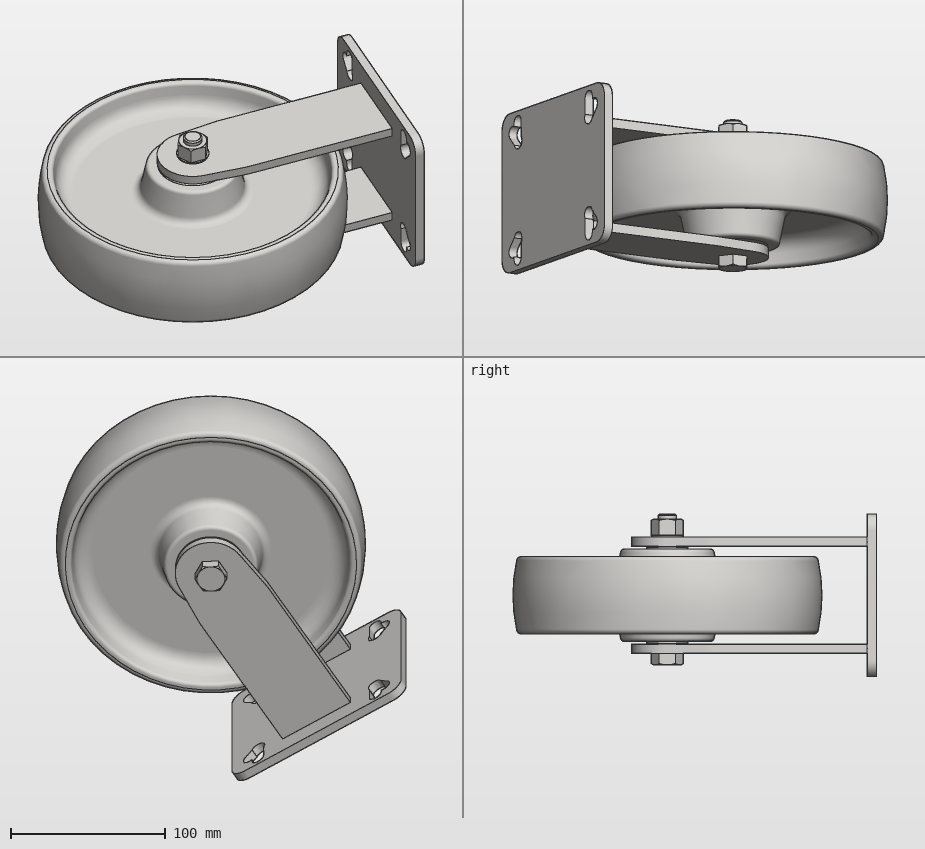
import cadquery as cq
import math


WHEEL_WIDTH = 50.0
TREAD_RADIUS = 99.8
TREAD_EDGE_RADIUS = 97.5
SHOULDER_HEIGHT = 3.0
RIM_RADIUS = 94.0
RIM_INNER_RADIUS = 90.1
RIM_EDGE_FILLET = 2.5
RIM_ROOT_FILLET = 11.7
WEB_THICKNESS = 14.0
HUB_LENGTH = 59.6
HUB_TOP_RADIUS = 29.8
HUB_EDGE_FILLET = 2.5
HUB_ROOT_FILLET = 5.9
DRAFT_ANGLE = 11.5

AXLE_TO_MOUNT = 135.0
SHEET = 6.0
PLATE_WIDTH = 128.6
PLATE_HEIGHT = 105.0
PLATE_CORNER_RADIUS = 9.9
LEG_GAP = 63.0
LEG_WIDTH = 51.5
LEG_END_RADIUS = 23.0
LEG_TAPER = 5.4
LEG_BEND_RADIUS = 32.9

SLOT_WIDTH = 9.0
UPRIGHT_X = 44.5
UPRIGHT_TOP = 44.8
SLOT_BOTTOM = 32.0
DIAGONAL_X = 44.0
DIAGONAL_RUN = 7.0

BOLT_DIAMETER = 12.0
BOLT_TIP_DIAMETER = 10.0
BOLT_TIP_CHAMFER = 1.0
BOLT_TIP_Z = 52.3
HEX_FLATS = 18.0
HEX_BEVEL_ANGLE = 30
HEAD_HEIGHT = 7.3
NUT_HEIGHT = 11.5
WASHER_FACE_DIAMETER = 20.0
WASHER_FACE_HEIGHT = 1.2
WASHER_CONE_HEIGHT = 1.0
BEARING_DIAMETER = 45.5
COLLAR_DIAMETER = 26.5
COLLAR_SPAN = 62.0

LEG_OUTER_Z = LEG_GAP / 2 + SHEET
HEX_CORNERS = HEX_FLATS / math.cos(math.radians(30))


def cylinder(diameter, z_low, z_high):
    return cq.Workplane("XY").workplane(offset=z_low).circle(diameter / 2).extrude(z_high - z_low)


def circular_edges(body, radius):
    return body.edges("%CIRCLE").filter(lambda edge: math.isclose(edge.radius(), radius, rel_tol=1e-6))


def make_tyre():
    """Ring with a crowned tread and rounded shoulders."""
    half = WHEEL_WIDTH / 2
    edge_z = half - SHOULDER_HEIGHT
    shoulder_width = TREAD_EDGE_RADIUS - RIM_RADIUS
    bulge = math.sin(math.radians(45))
    shoulder_mid = (RIM_RADIUS + shoulder_width * bulge, edge_z + SHOULDER_HEIGHT * bulge)
    return (
        cq.Workplane("YZ")
        .moveTo(RIM_RADIUS, -half)
        .lineTo(RIM_RADIUS, half)
        .threePointArc(shoulder_mid, (TREAD_EDGE_RADIUS, edge_z))
        .threePointArc((TREAD_RADIUS, 0), (TREAD_EDGE_RADIUS, -edge_z))
        .threePointArc((shoulder_mid[0], -shoulder_mid[1]), (RIM_RADIUS, -half))
        .close()
        .revolve(360, (0, 0), (0, 1))
    )


def make_rim():
    """Hub, flat web and rim in one piece, with drafted walls and rounded corners."""
    slope = math.tan(math.radians(DRAFT_ANGLE))
    web_z = WEB_THICKNESS / 2
    hub_z = HUB_LENGTH / 2
    rim_z = WHEEL_WIDTH / 2
    hub_root_radius = HUB_TOP_RADIUS + (hub_z - web_z) * slope
    rim_root_radius = RIM_INNER_RADIUS - (rim_z - web_z) * slope
    upper = [
        (BEARING_DIAMETER / 2, hub_z),
        (HUB_TOP_RADIUS, hub_z),
        (hub_root_radius, web_z),
        (rim_root_radius, web_z),
        (RIM_INNER_RADIUS, rim_z),
        (RIM_RADIUS, rim_z),
    ]
    lower = [(radius, -z) for radius, z in reversed(upper)]
    rim = cq.Workplane("YZ").polyline(upper + lower).close().revolve(360, (0, 0), (0, 1))

    for radius, fillet in (
        (HUB_TOP_RADIUS, HUB_EDGE_FILLET),
        (hub_root_radius, HUB_ROOT_FILLET),
        (rim_root_radius, RIM_ROOT_FILLET),
        (RIM_INNER_RADIUS, RIM_EDGE_FILLET),
    ):
        rim = circular_edges(rim, radius).fillet(fillet)
    return rim


def make_leg(z_low):
    """Flat leg that tapers to a round end about the axle."""
    taper = math.radians(LEG_TAPER)
    half = LEG_WIDTH / 2
    tangent_x = LEG_END_RADIUS * math.cos(taper)
    tangent_y = -LEG_END_RADIUS * math.sin(taper)
    bend_y = tangent_y + (half - tangent_x) / math.tan(taper)
    plate_y = AXLE_TO_MOUNT - SHEET
    blend = LEG_BEND_RADIUS * math.tan(taper / 2)
    blend_x = half - blend * math.sin(taper)
    blend_y = bend_y - blend * math.cos(taper)
    outline = (
        cq.Workplane("XY")
        .workplane(offset=z_low)
        .moveTo(half, plate_y)
        .lineTo(half, bend_y + blend)
        .tangentArcPoint((blend_x, blend_y), relative=False)
        .lineTo(tangent_x, tangent_y)
        .threePointArc((0, -LEG_END_RADIUS), (-tangent_x, tangent_y))
        .lineTo(-blend_x, blend_y)
        .tangentArcPoint((-half, bend_y + blend), relative=False)
        .lineTo(-half, plate_y)
        .close()
    )
    return outline.extrude(SHEET)


def slot_cutter(end_a, end_b):
    """Round-ended slot through the plate between two centres given as (x, z)."""
    run_x = end_b[0] - end_a[0]
    run_z = end_b[1] - end_a[1]
    middle = ((end_a[0] + end_b[0]) / 2, (end_a[1] + end_b[1]) / 2)
    return (
        cq.Workplane("XZ", origin=(0, AXLE_TO_MOUNT, 0))
        .center(*middle)
        .slot2D(math.hypot(run_x, run_z) + SLOT_WIDTH, SLOT_WIDTH, math.degrees(math.atan2(run_z, run_x)))
        .extrude(SHEET)
    )


def make_plate():
    """Mounting plate with rounded corners and a double slot at each corner."""
    plate = (
        cq.Workplane("XZ", origin=(0, AXLE_TO_MOUNT, 0))
        .rect(PLATE_WIDTH, PLATE_HEIGHT)
        .extrude(SHEET)
        .edges("|Y")
        .fillet(PLATE_CORNER_RADIUS)
    )
    for side in (-1, 1):
        for level in (-1, 1):
            upright = slot_cutter(
                (side * UPRIGHT_X, level * SLOT_BOTTOM),
                (side * UPRIGHT_X, level * UPRIGHT_TOP),
            )
            diagonal = slot_cutter(
                (side * DIAGONAL_X, level * SLOT_BOTTOM),
                (side * (DIAGONAL_X + DIAGONAL_RUN), level * (SLOT_BOTTOM + DIAGONAL_RUN)),
            )
            plate = plate.cut(upright).cut(diagonal)
    return plate


def make_frame():
    """Plate and two legs welded into one piece, bored for the bolt."""
    frame = make_plate()
    for z_low in (LEG_GAP / 2, -LEG_OUTER_Z):
        frame = frame.union(make_leg(z_low))
    return frame.cut(cylinder(BOLT_DIAMETER, -LEG_OUTER_Z, LEG_OUTER_Z))


def make_bearing():
    """Bush that fills the hub flush with its ends, with a narrower collar standing out at each end."""
    collar_z = COLLAR_SPAN / 2
    hub_z = HUB_LENGTH / 2
    collars = cylinder(COLLAR_DIAMETER, -collar_z, collar_z)
    bearing = cylinder(BEARING_DIAMETER, -hub_z, hub_z).union(collars)
    return bearing.cut(cylinder(BOLT_DIAMETER, -collar_z, collar_z))


def hexagon(z_low, z_high, bevel_low, bevel_high):
    """Hexagonal prism with corners on the Y axis, bevelled at the chosen ends."""
    prism = (
        cq.Workplane("XY", origin=(0, 0, z_low))
        .transformed(rotate=(0, 0, 90))
        .polygon(6, HEX_CORNERS)
        .extrude(z_high - z_low)
    )
    bevel_width = (HEX_CORNERS - HEX_FLATS) / 2
    bevel_height = bevel_width * math.tan(math.radians(HEX_BEVEL_ANGLE))
    envelope = cylinder(HEX_CORNERS, z_low, z_high)
    if bevel_low:
        envelope = envelope.faces("<Z").chamfer(bevel_height, bevel_width)
    if bevel_high:
        envelope = envelope.faces(">Z").chamfer(bevel_height, bevel_width)
    return prism.intersect(envelope)


def make_bolt():
    """Hexagon bolt with a chamfered tip, head below the lower leg."""
    head_top = -LEG_OUTER_Z
    head = hexagon(head_top - HEAD_HEIGHT, head_top, bevel_low=True, bevel_high=False)
    tip_inset = (BOLT_DIAMETER - BOLT_TIP_DIAMETER) / 2
    shank = cylinder(BOLT_DIAMETER, head_top, BOLT_TIP_Z)
    shank = shank.faces(">Z").chamfer(BOLT_TIP_CHAMFER, tip_inset)
    return head.union(shank)


def make_nut():
    """Hexagon nut on a thin coned washer face, above the upper leg."""
    low = LEG_OUTER_Z
    hex_low = low + WASHER_FACE_HEIGHT
    high = low + NUT_HEIGHT
    cone_inset = (HEX_CORNERS - WASHER_FACE_DIAMETER) / 2
    washer_face = cylinder(HEX_CORNERS, low, hex_low)
    washer_face = washer_face.faces("<Z").chamfer(WASHER_CONE_HEIGHT, cone_inset)
    nut = hexagon(hex_low, high, bevel_low=False, bevel_high=True).union(washer_face)
    return nut.cut(cylinder(BOLT_DIAMETER, low, high))


tyre = make_tyre()
rim = make_rim()
frame = make_frame()
bearing = make_bearing()
bolt = make_bolt()
nut = make_nut()

result = cq.Compound.makeCompound(
    [frame.val(), tyre.val(), rim.val(), bearing.val(), bolt.val(), nut.val()]
)